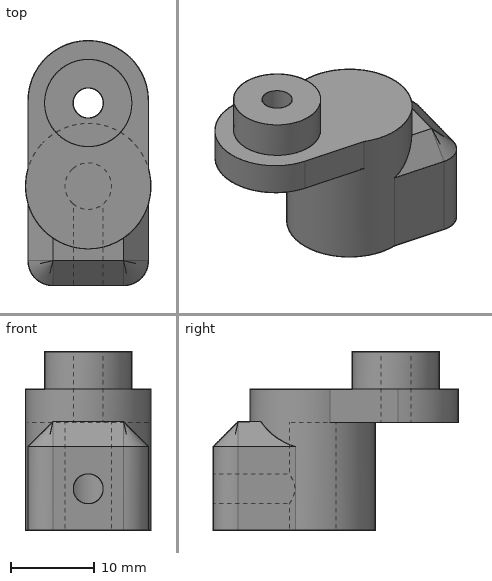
import cadquery as cq

plate_thickness = 4.0
plate_top = 17.0
plate_bottom = plate_top - plate_thickness
boss_top = 21.5
block_top = 13.1
cross_hole_height = 5.02

total_length = 29.5
column_diameter = 15.1
bore_diameter = 5.6
bore_depth = plate_bottom
body_width = 14.5
block_front = -11.98
block_corner = 3.0
boss_diameter = 10.5
boss_y = 10.0
hole_diameter = 3.6

half_width = body_width / 2
plate_end_center = total_length + block_front - half_width
block_shoulder = block_top - block_corner
corner_x = half_width - block_corner
corner_y = block_front + block_corner


def make_cylinder(diameter, bottom, top, y=0):
    return cq.Workplane("XY", origin=(0, y, bottom)).circle(diameter / 2).extrude(top - bottom)


def make_arm_plate():
    bar = cq.Workplane("XY", origin=(0, 0, plate_bottom)).box(
        body_width, plate_end_center, plate_thickness, centered=(True, False, False)
    )
    return bar.union(make_cylinder(body_width, plate_bottom, plate_top, plate_end_center))


def make_block():
    """Block with rounded front corners, whose sloped shoulders meet in a cone at each corner."""
    side_to_side = (
        cq.Workplane("XZ", origin=(0, corner_y, 0))
        .polyline([
            (-half_width, 0),
            (half_width, 0),
            (half_width, block_shoulder),
            (corner_x, block_top),
            (-corner_x, block_top),
            (-half_width, block_shoulder),
        ])
        .close()
        .extrude(corner_y)
    )
    front = (
        cq.Workplane("YZ", origin=(-corner_x, 0, 0))
        .polyline([
            (corner_y, 0),
            (block_front, 0),
            (block_front, block_shoulder),
            (corner_y, block_top),
        ])
        .close()
        .extrude(2 * corner_x)
    )
    block = side_to_side.union(front)
    for x in (-corner_x, corner_x):
        corner = (
            cq.Workplane("XZ", origin=(x, corner_y, 0))
            .polyline([(0, 0), (block_corner, 0), (block_corner, block_shoulder), (0, block_top)])
            .close()
            .revolve(360, (0, 0), (0, 1))
        )
        block = block.union(corner)
    return block


body = make_cylinder(column_diameter, 0, plate_top)
body = body.union(make_arm_plate())
body = body.union(make_cylinder(boss_diameter, plate_bottom, boss_top, boss_y))
body = body.union(make_block())

body = body.cut(make_cylinder(hole_diameter, plate_bottom, boss_top, boss_y))

body = body.cut(make_cylinder(bore_diameter, 0, bore_depth))

cross_hole = (
    cq.Workplane("XZ", origin=(0, block_front, 0))
    .center(0, cross_hole_height)
    .circle(hole_diameter / 2)
    .extrude(block_front)
)
result = body.cut(cross_hole)